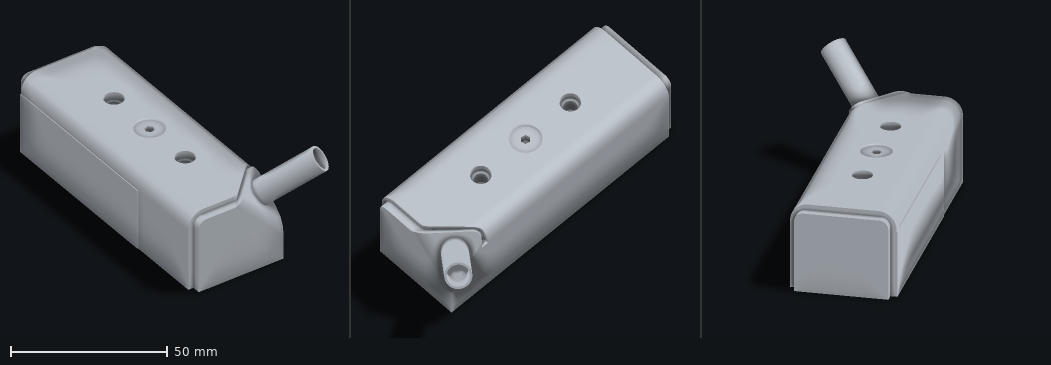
import cadquery as cq
import math

overall_length = 110.3
core_length = 99.9
cover_width = 35.0
cover_height = 29.3
wall = 2.0
end_lip = 3.0
cover_round = 6.0
core_round = 3.0

core_width = cover_width - 2 * wall
core_height = cover_height - wall
cover_start = end_lip
cover_end = core_length - end_lip
half_width = cover_width / 2

plate_length = 66.0
plate_height = 22.6
plate_thickness = 0.3

hole_spacing = 20.0
counterbore_diameter = 7.0
counterbore_depth = 3.0
screw_diameter = 5.0
screw_depth = 7.9
plug_diameter = 10.0
plug_rim = 0.5
hexagon_flats = 3.0
hexagon_depth = 3.0
hexagon_turn = -45

outlet_corner_x = 84.7
outlet_corner_y = 15.5
outlet_depth = 13.2
outlet_round = 3.0
outlet_end_round = 6.0
notch_sum = 98.2
notch_start = 83.6
notch_round = 3.0
notch_depth = cover_round

sleeve_lean = 0.86
sleeve_diameter = 9.0
sleeve_bore = 7.5
sleeve_foot_x = 93.9
sleeve_foot_y = 12.7

outlet_corner = cq.Vector(outlet_corner_x, outlet_corner_y, cover_height)
sleeve_axis = cq.Vector(sleeve_lean, 1, 1).normalized()
outlet_edge = cq.Vector(1, -sleeve_lean, 0).normalized()
rim_overhang = sleeve_diameter / 2 * math.sqrt(1 - sleeve_axis.x**2)
sleeve_reach = (overall_length - rim_overhang - sleeve_foot_x) / sleeve_axis.x


def rounded_bar(start, end, width, height, radius):
    """Bar along X standing on Z = 0, with its two long top edges rounded."""
    bar = cq.Workplane().box(end - start, width, height, centered=(False, True, False))
    return bar.edges("|X and >Z").fillet(radius).translate((start, 0, 0))


def cover_notch():
    """Corner of the cover that is cleared for the outlet."""
    start_y = notch_sum - notch_start
    end_y = notch_sum - cover_end
    top = cq.Workplane(origin=(0, 0, cover_height))
    slab = top.center(0, -half_width).rect(cover_end, cover_width, centered=False).extrude(-notch_depth)
    remaining = (
        top.polyline([
            (0, -half_width),
            (cover_end, -half_width),
            (cover_end, end_y),
            (notch_start, start_y),
            (notch_start, half_width),
            (0, half_width),
        ])
        .close()
        .extrude(-notch_depth)
    )
    for bend in [(cover_end, end_y), (notch_start, start_y)]:
        bend_edge = cq.selectors.NearestToPointSelector((*bend, cover_height - notch_depth / 2))
        remaining = remaining.edges("|Z").edges(bend_edge).fillet(notch_round)
    return slab.cut(remaining)


def outlet_plane():
    """Plane of the sloping face, with its X along the level top edge."""
    return cq.Plane(origin=outlet_corner, xDir=outlet_edge, normal=sleeve_axis)


def outlet_prism():
    """Round-cornered prism along the sleeve axis; its sides are the sides of the outlet."""
    size = core_length
    prism = cq.Workplane(outlet_plane()).workplane(offset=-outlet_depth)
    prism = prism.rect(size, size, centered=False).extrude(size)
    top_corner = cq.selectors.NearestToPointSelector(outlet_corner.toTuple())
    prism = prism.edges(cq.selectors.ParallelDirSelector(sleeve_axis)).edges(top_corner)
    return prism.fillet(outlet_round)


def outlet_block():
    """Corner block below the sloping face, rounded over to the +X end."""
    size = core_length
    block = cq.Workplane(origin=(0, -core_width / 2, 0))
    block = block.box(core_length, core_width + wall, cover_height, centered=False)
    above_face = cq.Workplane(outlet_plane()).rect(2 * size, 2 * size).extrude(size)
    block = block.cut(above_face)
    face_end_y = outlet_corner_y - sleeve_lean * (core_length - outlet_corner_x)
    drop = half_width - face_end_y
    end_edge = cq.selectors.NearestToPointSelector(
        (core_length, face_end_y + drop / 2, cover_height - drop / 2)
    )
    return block.edges(end_edge).fillet(outlet_end_round)


def sleeve_plane():
    """Plane of the outlet face, centred on the sleeve."""
    along_x = sleeve_foot_x - outlet_corner_x
    along_y = sleeve_foot_y - outlet_corner_y
    foot_z = cover_height - sleeve_lean * along_x - along_y
    return cq.Plane(
        origin=(sleeve_foot_x, sleeve_foot_y, foot_z), xDir=outlet_edge, normal=sleeve_axis
    )


def add_sleeve(body):
    root = -sleeve_diameter
    tube = cq.Workplane(sleeve_plane()).workplane(offset=root)
    tube = tube.circle(sleeve_diameter / 2).extrude(sleeve_reach - root)
    bore = cq.Workplane(sleeve_plane()).circle(sleeve_bore / 2).extrude(sleeve_reach)
    return body.union(tube).cut(bore)


def side_plate():
    """Plate standing proud of the cover; its inner half is sunk into the wall."""
    plate = cq.Workplane().box(plate_length, 2 * plate_thickness, plate_height, centered=(False, True, False))
    return plate.translate((cover_start, -half_width, 0))


def cut_top_holes(body):
    middle = core_length / 2
    top = cq.Workplane(origin=(middle, 0, cover_height))
    screws = top.pushPoints([(-hole_spacing, 0), (hole_spacing, 0)])
    body = body.cut(screws.circle(counterbore_diameter / 2).extrude(-counterbore_depth))
    body = body.cut(screws.circle(screw_diameter / 2).extrude(-screw_depth))

    bevel = cq.Solid.makeCone(
        plug_diameter / 2,
        plug_diameter / 2 + plug_rim,
        plug_rim,
        pnt=cq.Vector(middle, 0, cover_height - plug_rim),
    )
    hexagon = (
        cq.Workplane()
        .polygon(6, hexagon_flats, circumscribed=True)
        .extrude(-hexagon_depth)
        .rotate((0, 0, 0), (0, 0, 1), hexagon_turn)
        .translate((middle, 0, cover_height - plug_rim))
    )
    return body.cut(cq.Workplane(bevel)).cut(hexagon)


cover = rounded_bar(cover_start, cover_end, cover_width, cover_height, cover_round).cut(cover_notch())
core = rounded_bar(0, core_length, core_width, core_height, core_round)
outlet = outlet_prism()

result = cover.union(core).cut(outlet)
result = result.union(outlet_block().intersect(outlet)).union(side_plate())
result = add_sleeve(result)
result = cut_top_holes(result)